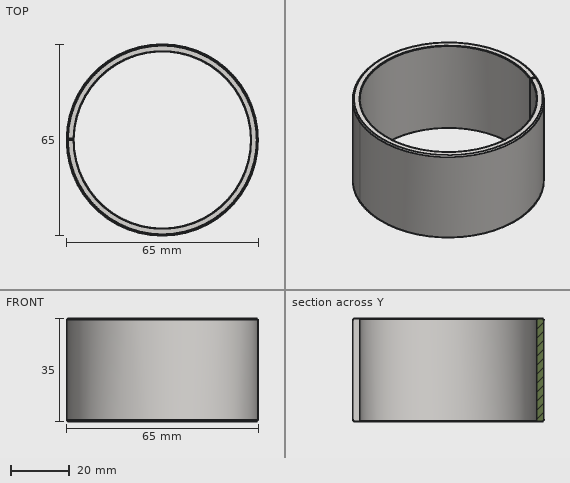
import cadquery as cq

outer_diameter = 65.0
inner_diameter = 60.0
height = 35.0
outer_chamfer_radial = 0.5
outer_chamfer_axial = 0.5
inner_chamfer = 0.2
slit_width = 0.5

outer_radius = outer_diameter / 2
inner_radius = inner_diameter / 2
half_height = height / 2


def sleeve():
    """Revolve the wall section, with both rims chamfered inside and outside."""
    section = [
        (inner_radius, -half_height + inner_chamfer),
        (inner_radius + inner_chamfer, -half_height),
        (outer_radius - outer_chamfer_radial, -half_height),
        (outer_radius, -half_height + outer_chamfer_axial),
        (outer_radius, half_height - outer_chamfer_axial),
        (outer_radius - outer_chamfer_radial, half_height),
        (inner_radius + inner_chamfer, half_height),
        (inner_radius, half_height - inner_chamfer),
    ]
    return cq.Workplane("XZ").polyline(section).close().revolve(360, (0, 0), (0, 1))


def slit():
    """Full-height cutter through the -X wall, with one face on the XZ plane and its width toward +Y."""
    cutter = cq.Workplane("XY").box(outer_diameter, slit_width, 2 * height)
    return cutter.translate((-outer_radius, slit_width / 2, 0))


result = sleeve().cut(slit())